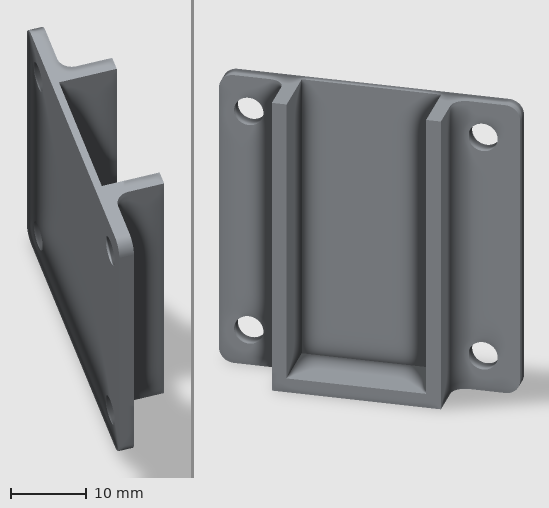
import cadquery as cq

width = 41.0
depth = 9.0
height = 42.0

plate_thickness = 2.0
corner_radius = 2.0
hole_diameter = 4.0
hole_spacing = 31.88
hole_shift = 0.5

wall_thickness = 2.0
pocket_width = 19.0
pocket_floor = 1.0
root_radius = 2.0
holder_width = pocket_width + 2 * wall_thickness


def make_plate():
    """Rounded plate, centred on X and Z, with its front face at Y = 0."""
    plate = cq.Workplane("XY").box(width, plate_thickness, height, centered=(True, False, True))
    return plate.edges("|Y").fillet(corner_radius)


def make_holder():
    """Full-height block whose sides flare into the plate with concave arcs."""
    side = holder_width / 2
    flare = side + root_radius
    arc_end = plate_thickness + root_radius
    return (
        cq.Workplane("XY")
        .workplane(offset=-height / 2)
        .moveTo(-flare, 0)
        .lineTo(flare, 0)
        .lineTo(flare, plate_thickness)
        .radiusArc((side, arc_end), root_radius)
        .lineTo(side, depth)
        .lineTo(-side, depth)
        .lineTo(-side, arc_end)
        .radiusArc((-flare, plate_thickness), root_radius)
        .close()
        .extrude(height)
    )


def make_pocket():
    """Pocket volume, closed at the bottom by one wall thickness."""
    return (
        cq.Workplane("XY")
        .box(pocket_width, depth - pocket_floor, height - wall_thickness, centered=(True, False, False))
        .translate((0, pocket_floor, wall_thickness - height / 2))
    )


def make_holes():
    """Four through holes on a square pattern, shifted along X."""
    return (
        cq.Workplane("XZ")
        .center(hole_shift, 0)
        .rect(hole_spacing, hole_spacing, forConstruction=True)
        .vertices()
        .circle(hole_diameter / 2)
        .extrude(-plate_thickness)
    )


result = make_plate().union(make_holder()).cut(make_pocket()).cut(make_holes())